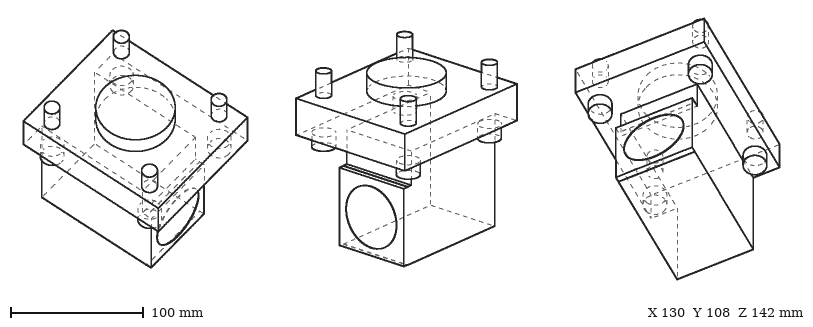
import cadquery as cq

plate_length = 130.0
plate_width = 108.0
plate_thickness = 30.0

spigot_diameter = 59.9
spigot_height = 15.0

screw_spacing_x = 94.0
screw_spacing_y = 84.0
shank_diameter = 12.0
shank_projection = 20.0
head_diameter = 18.0
head_height = 12.0

body_length = 101.0
body_width = 64.0
body_height = 92.0
body_left = -plate_length / 2
body_right = body_left + body_length

step_depth = 4.0
step_height = 28.0

cover_thickness = 4.5
cover_inset = 0.3
cover_height = body_height - step_height - 2 * cover_inset
cover_center_z = -(body_height + step_height) / 2
cover_right = body_right + cover_thickness

pad_diameter = 50.01
pad_thickness = 0.5


def make_plate():
    return cq.Workplane("XY").box(plate_length, plate_width, plate_thickness, centered=(True, True, False))


def make_spigot():
    return (
        cq.Workplane("XY")
        .workplane(offset=plate_thickness)
        .circle(spigot_diameter / 2)
        .extrude(spigot_height)
    )


def make_body():
    step_left = body_right - step_depth
    profile = [
        (body_left, 0),
        (step_left, 0),
        (step_left, -step_height),
        (body_right, -step_height),
        (body_right, -body_height),
        (body_left, -body_height),
    ]
    return cq.Workplane("XZ").polyline(profile).close().extrude(body_width / 2, both=True)


def make_cover():
    return (
        cq.Workplane("YZ", origin=(body_right, 0, cover_center_z))
        .rect(body_width, cover_height)
        .extrude(cover_thickness)
    )


def make_pad():
    return (
        cq.Workplane("YZ", origin=(cover_right, 0, cover_center_z))
        .circle(pad_diameter / 2)
        .extrude(pad_thickness)
    )


def make_screws():
    def corners(base):
        return cq.Workplane("XY", origin=(0, 0, base)).rarray(screw_spacing_x, screw_spacing_y, 2, 2)

    heads = corners(-head_height).circle(head_diameter / 2).extrude(head_height)
    shanks = corners(plate_thickness).circle(shank_diameter / 2).extrude(shank_projection)
    return heads.union(shanks)


result = make_plate()
for feature in (make_spigot(), make_body(), make_cover(), make_pad(), make_screws()):
    result = result.union(feature)